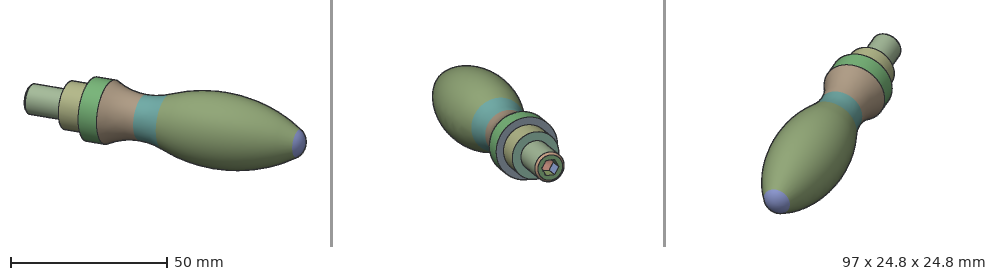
import cadquery as cq
import math

total_length = 97.0
stud_radius = 5.0
stud_end = 13.8
stud_chamfer = 0.8
collar_radius = 8.0
collar_end = 21.9
flange_radius = 10.5
flange_end = 28.4

neck_x = 40.1
neck_radius = 7.52
body_x = 67.1
body_radius = 12.4
body_arc_radius = 52.4
tip_start = 94.8

socket_flats = 5.0
socket_depth = 5.0
socket_cone_angle = 120.0


def flange_to_neck_midpoint():
    """Middle of the concave arc that leaves the neck parallel to the axis."""
    run = neck_x - flange_end
    rise = flange_radius - neck_radius
    arc_radius = (run**2 + rise**2) / (2 * rise)
    half_angle = math.asin(run / arc_radius) / 2
    return (
        neck_x - arc_radius * math.sin(half_angle),
        neck_radius + arc_radius * (1 - math.cos(half_angle)),
    )


def neck_to_body_point():
    """Point where the neck arc and the body arc are tangent."""
    body_center_r = body_radius - body_arc_radius
    run = body_x - neck_x
    rise = neck_radius - body_center_r
    neck_arc_radius = (run**2 + rise**2 - body_arc_radius**2) / (2 * (body_arc_radius - rise))
    angle = math.asin(run / (neck_arc_radius + body_arc_radius))
    return (
        neck_x + neck_arc_radius * math.sin(angle),
        neck_radius + neck_arc_radius * (1 - math.cos(angle)),
    )


def tip_start_radius():
    """Radius of the body arc where the rounded tip begins."""
    run = tip_start - body_x
    return body_radius - body_arc_radius + math.sqrt(body_arc_radius**2 - run**2)


def tip_midpoint():
    """Middle of the tip arc, which is centered on the axis."""
    length = total_length - tip_start
    base_radius = tip_start_radius()
    arc_radius = (length**2 + base_radius**2) / (2 * length)
    half_angle = math.asin(base_radius / arc_radius) / 2
    return (
        total_length - arc_radius * (1 - math.cos(half_angle)),
        arc_radius * math.sin(half_angle),
    )


def make_handle():
    """Revolve the half outline about the X axis."""
    return (
        cq.Workplane("XY")
        .lineTo(0, stud_radius - stud_chamfer)
        .lineTo(stud_chamfer, stud_radius)
        .lineTo(stud_end, stud_radius)
        .lineTo(stud_end, collar_radius)
        .lineTo(collar_end, collar_radius)
        .lineTo(collar_end, flange_radius)
        .lineTo(flange_end, flange_radius)
        .threePointArc(flange_to_neck_midpoint(), (neck_x, neck_radius))
        .tangentArcPoint(neck_to_body_point(), relative=False)
        .threePointArc((body_x, body_radius), (tip_start, tip_start_radius()))
        .threePointArc(tip_midpoint(), (total_length, 0))
        .close()
        .revolve(360, (0, 0, 0), (1, 0, 0))
    )


def make_socket():
    """Hexagonal prism, corners along Y, trimmed by a drill-shaped bottom."""
    corner_radius = socket_flats / math.sqrt(3)
    cone_depth = corner_radius / math.tan(math.radians(socket_cone_angle / 2))
    socket_end = socket_depth + cone_depth
    prism = cq.Workplane("YZ").polygon(6, 2 * corner_radius).extrude(socket_end)
    drill = (
        cq.Workplane("XY")
        .lineTo(0, corner_radius)
        .lineTo(socket_depth, corner_radius)
        .lineTo(socket_end, 0)
        .close()
        .revolve(360, (0, 0, 0), (1, 0, 0))
    )
    return prism.intersect(drill)


result = make_handle().cut(make_socket())